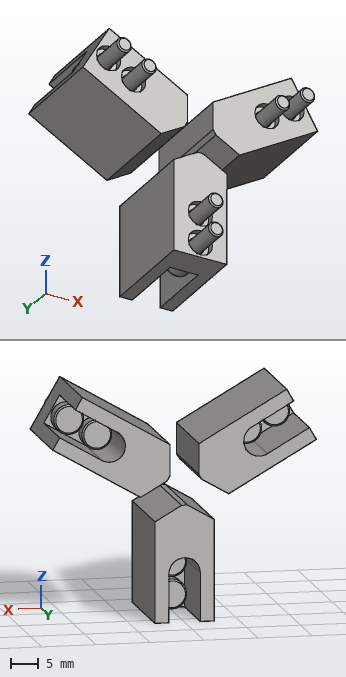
import cadquery as cq
import math

JAW_COUNT = 3
STEP_ANGLE = 360 / JAW_COUNT
OVERALL_SPAN = 48.8

JAW_WIDTH = 11.0
JAW_DEPTH = 20.0
NOSE_SLOPE = math.radians(30)
NOSE_APEX_RADIUS = 3.05
NOSE_FLAT = 1.1
JAW_TILT = math.radians(30)
OUTER_RADIUS = (OVERALL_SPAN / 2 - JAW_WIDTH / 2 * math.sin(JAW_TILT)) / math.cos(JAW_TILT)
SHOULDER_RADIUS = NOSE_APEX_RADIUS + JAW_WIDTH / 2 * math.tan(NOSE_SLOPE)
NOSE_RADIUS = NOSE_APEX_RADIUS + NOSE_FLAT / 2 * math.tan(NOSE_SLOPE)

SCREW_PITCH = 6.0
SCREW_EDGE = SCREW_PITCH / 2
SCREW_RADII = (OUTER_RADIUS - SCREW_EDGE, OUTER_RADIUS - SCREW_EDGE - SCREW_PITCH)
SHANK_DIAMETER = 3.0
TIP_OVERHANG = 6.0
HEAD_DIAMETER = 5.5
HEAD_HEIGHT = 3.0
SCREW_CHAMFER = 0.3

SLOT_WIDTH = 5.8
WEB_THICKNESS = 6.0
HOLE_DIAMETER = 3.2
FRONT_BORE_DIAMETER = 5.0
FRONT_BORE_DEPTH = 1.4


def plane_at(y):
    """XZ sketch plane at the given Y; negative extrusions run toward +Y."""
    return cq.Workplane("XZ", origin=(0, y, 0))


def around_axis(body, index):
    """Turn a body from the lower jaw position to the given jaw position."""
    return body.rotate((0, 0, 0), (0, 1, 0), index * STEP_ANGLE)


def make_block():
    half_width = JAW_WIDTH / 2
    half_flat = NOSE_FLAT / 2
    outline = [
        (-half_width, -OUTER_RADIUS),
        (half_width, -OUTER_RADIUS),
        (half_width, -SHOULDER_RADIUS),
        (half_flat, -NOSE_RADIUS),
        (-half_flat, -NOSE_RADIUS),
        (-half_width, -SHOULDER_RADIUS),
    ]
    return plane_at(0).polyline(outline).close().extrude(-JAW_DEPTH)


def make_head_slot():
    """Slot for the screw heads, open at the back and outer faces, rounded at its inner end."""
    half_slot = SLOT_WIDTH / 2
    end_center = -min(SCREW_RADII)
    return (
        plane_at(WEB_THICKNESS)
        .moveTo(-half_slot, -OUTER_RADIUS)
        .lineTo(half_slot, -OUTER_RADIUS)
        .lineTo(half_slot, end_center)
        .threePointArc((0, end_center + half_slot), (-half_slot, end_center))
        .close()
        .extrude(WEB_THICKNESS - JAW_DEPTH)
    )


def make_jaw():
    """Jaw below the axis, with its outer face toward -Z."""
    screw_points = [(0, -radius) for radius in SCREW_RADII]
    holes = plane_at(0).pushPoints(screw_points).circle(HOLE_DIAMETER / 2).extrude(-WEB_THICKNESS)
    bores = plane_at(0).pushPoints(screw_points).circle(FRONT_BORE_DIAMETER / 2).extrude(-FRONT_BORE_DEPTH)
    return make_block().cut(make_head_slot()).cut(holes).cut(bores)


def make_screw(radius):
    """Cap screw whose head rests on the slot floor, at a given distance from the axis."""
    shank = (
        plane_at(WEB_THICKNESS)
        .center(0, -radius)
        .circle(SHANK_DIAMETER / 2)
        .extrude(WEB_THICKNESS + TIP_OVERHANG)
        .faces("<Y")
        .chamfer(SCREW_CHAMFER)
    )
    head = (
        plane_at(WEB_THICKNESS)
        .center(0, -radius)
        .circle(HEAD_DIAMETER / 2)
        .extrude(-HEAD_HEIGHT)
        .faces(">Y")
        .chamfer(SCREW_CHAMFER)
    )
    return shank.union(head)


jaws = [around_axis(make_jaw(), i) for i in range(JAW_COUNT)]
screws = [around_axis(make_screw(r), i) for i in range(JAW_COUNT) for r in SCREW_RADII]

result = cq.Compound.makeCompound([body.solids().val() for body in jaws + screws])